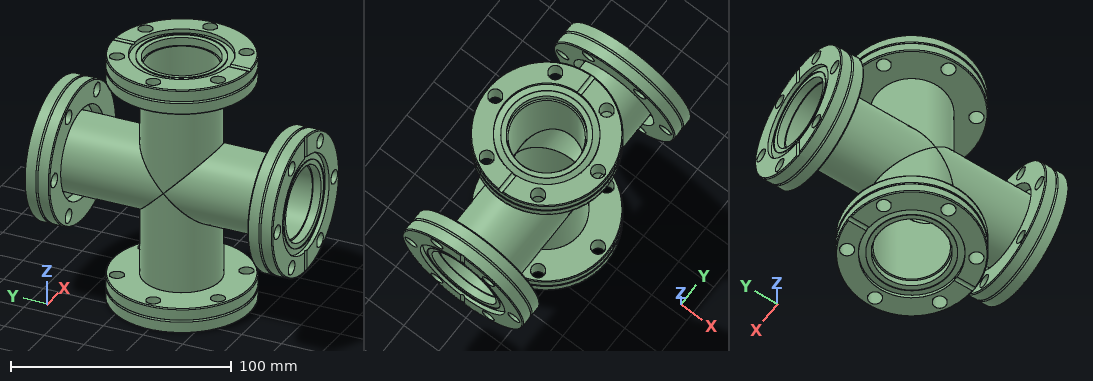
import cadquery as cq

port_reach = 62.5
flange_diameter = 69.1
flange_thickness = 12.6
flange_back = port_reach - flange_thickness

tube_outer_diameter = 38.1
tube_inner_diameter = 35.0
tube_end_setback = 5.2
tube_length = port_reach - tube_end_setback

recess_diameter = 48.2
recess_wall_depth = 2.0
knife_tip_diameter = 41.6
knife_tip_depth = 0.8
seal_floor_depth = 1.2
bore_diameter = 36.6
tube_socket_diameter = 38.2

ring_back_bore_diameter = 45.5
insert_diameter = 48.1
insert_back_depth = 7.2

rim_chamfer = 0.5
rim_groove_half_width = 0.5
rim_groove_depth = 0.4

bolt_count = 6
bolt_hole_diameter = 6.8
bolt_circle_diameter = 58.8

leak_groove_width = 2.4
leak_groove_depth = 0.6

fixed_port_angles = (0, 180)
rotatable_port_angles = (90, 270)


def revolve_about_z(outline):
    """Solid of revolution about Z from an open XZ outline, closed by a straight line."""
    return outline.close().revolve(360, (0, 0, 0), (0, 1, 0))


def at_port(body, angle):
    """Turn a body built on the +Z port onto the port at this angle."""
    return body.rotate((0, 0, 0), (1, 0, 0), angle).val()


def rim_outline():
    """Outer rim from back to face: chamfered edges and a round groove at mid-thickness."""
    radius = flange_diameter / 2
    middle = port_reach - flange_thickness / 2
    return (
        cq.Workplane("XZ")
        .moveTo(radius - rim_chamfer, flange_back)
        .lineTo(radius, flange_back + rim_chamfer)
        .lineTo(radius, middle - rim_groove_half_width)
        .threePointArc(
            (radius - rim_groove_depth, middle),
            (radius, middle + rim_groove_half_width),
        )
        .lineTo(radius, port_reach - rim_chamfer)
        .lineTo(radius - rim_chamfer, port_reach)
    )


def seal_points(wall_radius):
    """Sealing surface from the recess wall inward over the knife edge to the bore."""
    return [
        (wall_radius, port_reach - recess_wall_depth),
        (knife_tip_diameter / 2, port_reach - knife_tip_depth),
        (knife_tip_diameter / 2, port_reach - seal_floor_depth),
        (bore_diameter / 2, port_reach - seal_floor_depth),
    ]


def socket_points(back):
    """Bore, stop lip and tube socket, from the bore down to the given back face."""
    return [
        (bore_diameter / 2, tube_length),
        (tube_socket_diameter / 2, tube_length),
        (tube_socket_diameter / 2, back),
    ]


def cut_bolt_holes(flange):
    holes = (
        cq.Workplane("XY")
        .workplane(offset=flange_back)
        .polarArray(bolt_circle_diameter / 2, 0, 360, bolt_count)
        .circle(bolt_hole_diameter / 2)
        .extrude(flange_thickness)
    )
    return flange.cut(holes)


def cut_leak_grooves(flange):
    """Cut a groove along Y over the whole face; it passes above the deeper sealing recess."""
    groove = (
        cq.Workplane("XZ")
        .moveTo(-leak_groove_width / 2, port_reach)
        .threePointArc(
            (0, port_reach - leak_groove_depth),
            (leak_groove_width / 2, port_reach),
        )
        .close()
        .extrude(flange_diameter / 2, both=True)
    )
    return flange.cut(groove)


def make_tube():
    """Tube on the +Z port, mitred at 45 degrees where the four tubes meet."""
    tube = (
        cq.Workplane("XY")
        .circle(tube_outer_diameter / 2)
        .circle(tube_inner_diameter / 2)
        .extrude(tube_length)
    )
    mitre = (
        cq.Workplane("YZ")
        .polyline([(0, 0), (tube_length, tube_length), (-tube_length, tube_length)])
        .close()
        .extrude(tube_outer_diameter, both=True)
    )
    return tube.intersect(mitre)


def make_fixed_flange():
    recess_radius = recess_diameter / 2
    inner_points = [
        (recess_radius, port_reach),
        *seal_points(recess_radius),
        *socket_points(flange_back),
    ]
    blank = revolve_about_z(rim_outline().polyline(inner_points, includeCurrent=True))
    return cut_leak_grooves(cut_bolt_holes(blank))


def make_bolt_ring():
    shoulder = port_reach - insert_back_depth
    inner_points = [
        (recess_diameter / 2, port_reach),
        (recess_diameter / 2, shoulder),
        (ring_back_bore_diameter / 2, shoulder),
        (ring_back_bore_diameter / 2, flange_back),
    ]
    blank = revolve_about_z(rim_outline().polyline(inner_points, includeCurrent=True))
    return cut_leak_grooves(cut_bolt_holes(blank))


def make_insert():
    back = port_reach - insert_back_depth
    points = [
        (insert_diameter / 2, back),
        *seal_points(insert_diameter / 2),
        *socket_points(back),
    ]
    return revolve_about_z(cq.Workplane("XZ").polyline(points))


tubes = [at_port(make_tube(), angle) for angle in fixed_port_angles + rotatable_port_angles]
fixed_flanges = [at_port(make_fixed_flange(), angle) for angle in fixed_port_angles]
bolt_rings = [at_port(make_bolt_ring(), angle) for angle in rotatable_port_angles]
inserts = [at_port(make_insert(), angle) for angle in rotatable_port_angles]

result = cq.Compound.makeCompound([*tubes, *fixed_flanges, *bolt_rings, *inserts])